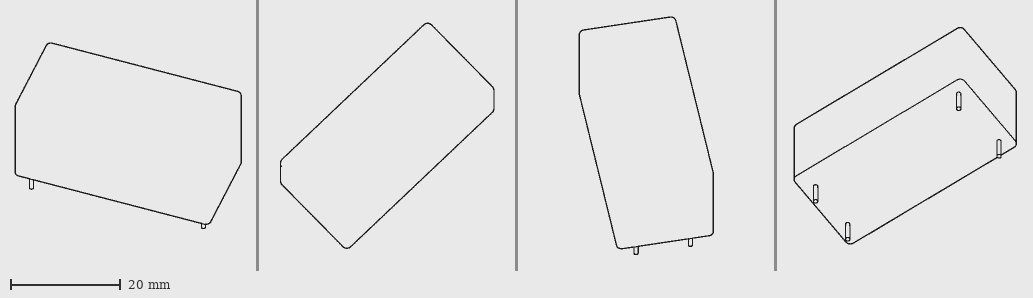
import cadquery as cq

case_length = 38.0
case_width = 18.0
case_height = 18.0
edge_radius = 1.0

pin_length = 4.98
pin_diameter = 0.8
pin_x = 16.5
wide_pin_y = 6.35
narrow_pin_y = 5.05


def make_case():
    """Box standing on Z = 0, with its bottom edges left sharp."""
    box = cq.Workplane("XY").box(
        case_length, case_width, case_height, centered=(True, True, False)
    )
    return box.edges("|Z or >Z").fillet(edge_radius)


def make_pins():
    """Four pins hanging from the case bottom, one pair at each end."""
    pin_places = []
    for x, half_spacing in ((-pin_x, wide_pin_y), (pin_x, narrow_pin_y)):
        for side in (-1, 1):
            pin_places.append((x, side * half_spacing))
    return (
        cq.Workplane("XY")
        .pushPoints(pin_places)
        .circle(pin_diameter / 2)
        .extrude(-pin_length)
    )


result = make_case().union(make_pins())